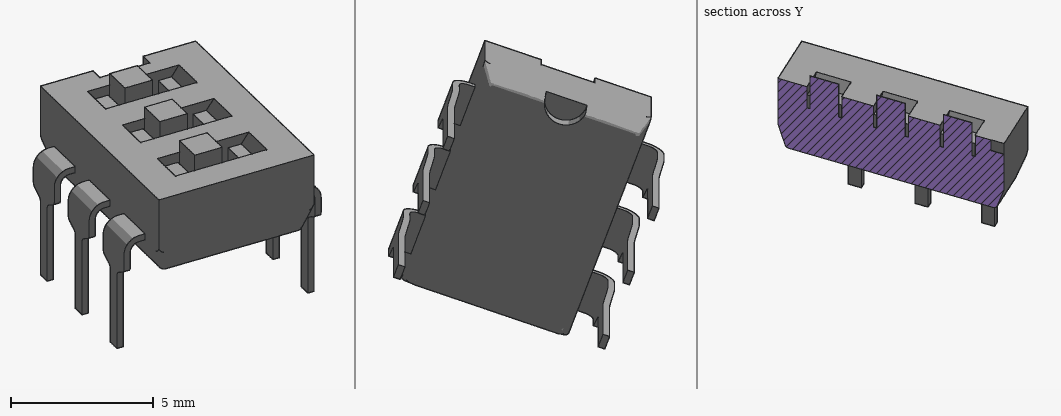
import cadquery as cq
import math


body_length = 8.62
body_width = 6.2
body_height = 3.18
waist_height = 0.97
taper_inset = 0.3
corner_radius = 0.2
bottom_edge_radius = 0.15

end_notch_depth = 0.5
end_notch_inset = 0.5
end_notch_width = 2.0
underside_recess_radius = 0.76
underside_recess_height = 0.5
underside_recess_inset = 0.2

switch_count = 3
pitch = 2.54
slot_width = 1.32
slot_length = 3.65
slot_depth = 0.4
slot_end_slope = 0.3
travel_length = 2.0
pit_depth = 1.0
slider_size = 1.1
slider_rise = 0.55

pin_span = 7.87
pin_thickness = 0.25
pin_top = 1.24
pin_bend_radius = 0.6
pin_wide = 1.53
pin_narrow = 0.5
pin_length_below_body = 3.52
pin_shoulder_top = -0.09
pin_shoulder_angle = 30.0
pin_shoulder_radius = 0.2
pin_embedment = 0.3

body_top = body_height
switch_positions = [pitch * (i - (switch_count - 1) / 2) for i in range(switch_count)]


def box(size_x, size_y, size_z, center_x, center_y, bottom_z):
    block = cq.Workplane("XY").box(size_x, size_y, size_z, centered=(True, True, False))
    return block.translate((center_x, center_y, bottom_z))


def make_body():
    """Block trimmed by a flaring envelope whose slanted corners and bottom edges are rounded."""
    block = box(body_length, body_width, body_height, 0, 0, 0)
    flare = 2 * taper_inset * body_height / waist_height
    base_length = body_length - 2 * taper_inset
    base_width = body_width - 2 * taper_inset
    envelope = (
        cq.Workplane("XY")
        .rect(base_length, base_width)
        .workplane(offset=body_height)
        .rect(base_length + flare, base_width + flare)
        .loft(ruled=True)
    )
    envelope = envelope.edges("not (>Z or <Z)").fillet(corner_radius)
    envelope = envelope.faces("<Z").edges().fillet(bottom_edge_radius)
    return block.intersect(envelope)


def make_end_recesses():
    end_x = -body_length / 2
    notch = box(
        2 * end_notch_inset, end_notch_width, end_notch_depth,
        end_x, 0, body_top - end_notch_depth,
    )
    scoop = (
        cq.Workplane("XY")
        .center(end_x + underside_recess_inset, 0)
        .circle(underside_recess_radius)
        .extrude(underside_recess_height)
    )
    return notch.union(scoop)


def make_slot(x):
    """Shallow slot with sloped ends, and a straight-walled pit in its middle."""
    half_top = slot_length / 2
    half_floor = half_top - slot_end_slope
    floor_z = body_top - slot_depth
    slot = (
        cq.Workplane("YZ")
        .polyline([
            (-half_top, body_top),
            (half_top, body_top),
            (half_floor, floor_z),
            (-half_floor, floor_z),
        ])
        .close()
        .extrude(slot_width / 2, both=True)
        .translate((x, 0, 0))
    )
    pit = box(slot_width, travel_length, pit_depth, x, 0, body_top - pit_depth)
    return slot.union(pit)


def make_slider(x):
    """Square knob standing on the pit floor at the -Y end of its travel."""
    center_y = (slider_size - travel_length) / 2
    return box(slider_size, slider_size, pit_depth + slider_rise, x, center_y, body_top - pit_depth)


def make_pin():
    """Pin on the -Y side at x = 0: bent strip, trimmed to a wide head and a narrow leg."""
    outer_y = -pin_span / 2
    inner_y = outer_y + pin_thickness
    under_z = pin_top - pin_thickness
    tip_z = -pin_length_below_body
    root_y = -body_width / 2 + pin_embedment
    bend_y = outer_y + pin_bend_radius
    bend_z = pin_top - pin_bend_radius
    inner_radius = pin_bend_radius - pin_thickness
    diagonal = math.sqrt(0.5)
    strip = (
        cq.Workplane("YZ")
        .moveTo(outer_y, tip_z)
        .lineTo(outer_y, bend_z)
        .threePointArc(
            (bend_y - pin_bend_radius * diagonal, bend_z + pin_bend_radius * diagonal),
            (bend_y, pin_top),
        )
        .lineTo(root_y, pin_top)
        .lineTo(root_y, under_z)
        .lineTo(bend_y, under_z)
        .threePointArc(
            (bend_y - inner_radius * diagonal, bend_z + inner_radius * diagonal),
            (inner_y, bend_z),
        )
        .lineTo(inner_y, tip_z)
        .close()
        .extrude(pin_wide / 2, both=True)
    )

    half_wide = pin_wide / 2
    half_narrow = pin_narrow / 2
    shoulder_drop = (half_wide - half_narrow) * math.tan(math.radians(pin_shoulder_angle))
    shoulder_bottom = pin_shoulder_top - shoulder_drop
    face = (
        cq.Workplane("XZ")
        .polyline([
            (-half_wide, pin_top),
            (half_wide, pin_top),
            (half_wide, pin_shoulder_top),
            (half_narrow, shoulder_bottom),
            (half_narrow, tip_z),
            (-half_narrow, tip_z),
            (-half_narrow, shoulder_bottom),
            (-half_wide, pin_shoulder_top),
        ])
        .close()
        .extrude(pin_span)
    )
    shoulder_corners = cq.selectors.BoxSelector(
        (-pin_wide, -2 * pin_span, shoulder_bottom - pin_thickness),
        (pin_wide, pin_span, pin_shoulder_top + pin_thickness),
    )
    face = face.edges("|Y").edges(shoulder_corners).fillet(pin_shoulder_radius)
    return strip.intersect(face)


result = make_body().cut(make_end_recesses())
front_pin = make_pin()
back_pin = front_pin.mirror("XZ")
for x in switch_positions:
    result = result.cut(make_slot(x)).union(make_slider(x))
    for pin in (front_pin, back_pin):
        result = result.union(pin.translate((x, 0, 0)))